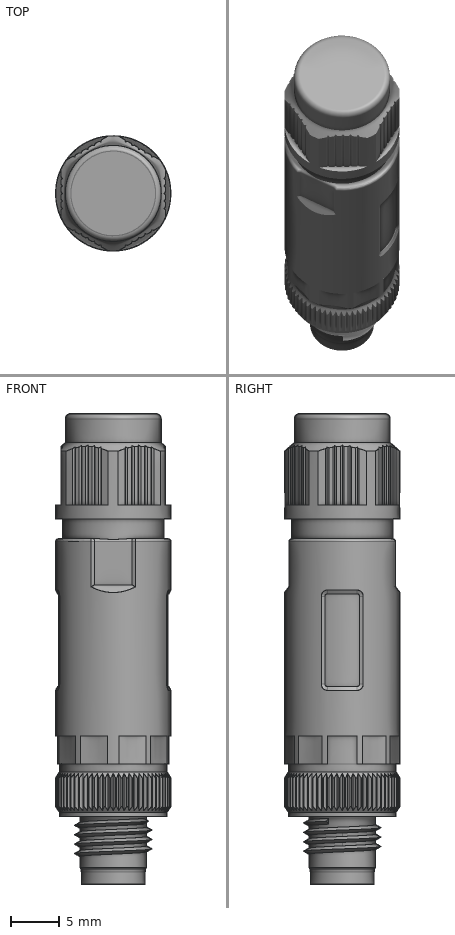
import cadquery as cq
import math

TOTAL_HEIGHT = 49.0
BODY_DIAMETER = 12.0
BODY_RADIUS = BODY_DIAMETER / 2

PILOT_RADIUS = 3.35
PILOT_HEIGHT = 1.25
CORE_RADIUS = 3.5
SHOULDER_RADIUS = 3.4
SHOULDER_HEIGHT = 1.6
CORE_START = 1.75
THREAD_RADIUS = 4.0
THREAD_PITCH = 1.0
THREAD_TURNS = 3.6
THREAD_START_Z = 3.05
THREAD_START_ANGLE = 120.0
THREAD_BASE_WIDTH = 0.8
THREAD_OVERLAP = 0.15

RING_RADIUS = 5.6
RING_BOTTOM = 7.05
KNURL_CHAMFER_BOTTOM = 7.5
KNURL_BOTTOM = 8.1
KNURL_TOP = 11.05
KNURL_CHAMFER_TOP = 11.7
KNURL_TEETH = 64
KNURL_DEPTH = 0.3
KNURL_OPENING = 0.8

BODY_BOTTOM = 12.55
SCALLOP_TOP = 15.45
SCALLOP_FLOOR = 5.7
SCALLOP_RADIUS = 8.8
SCALLOP_PITCH_ANGLE = 35.0
MIDDLE_RECESS_WIDTH = 3.1
BODY_TOP = 35.95
BODY_TOP_FILLET = 0.3
FLAT_DISTANCE = 5.4
FLAT_BOTTOM = 31.15
FLAT_HALF_WIDTH = 1.95
FLAT_SIDE_SPREAD = 2.2
FLAT_BOTTOM_SLOPE = 1.3
POCKET_BOTTOM = 20.6
POCKET_TOP = 30.25
POCKET_WIDTH = 3.65
POCKET_DEPTH = 0.3
POCKET_CORNER = 0.3
POCKET_CHAMFER_WIDTH = 0.4
POCKET_CHAMFER_DEPTH = 0.2

NECK_RADIUS = 5.3
COLLAR_BOTTOM = 38.0
COLLAR_TOP = 39.5
NUT_SHOULDER = 45.1
NUT_TOP = 45.95
NUT_FLAT_DISTANCE = 5.45
NUT_FLATS = 6
GRIP_GROOVES = 5
GRIP_PITCH = 0.8
GRIP_WIDTH = 0.35
GRIP_DEPTH = 0.15

CAP_RADIUS = 5.0
CAP_FILLET = 0.6

CUT_MARGIN = 0.5
RIM_TOLERANCE = 0.05


def about_axis(shape, angle):
    """Turn a shape about the connector's axis."""
    return shape.rotate((0, 0, 0), (0, 0, 1), angle)


def turned_profile():
    """Revolve the stepped outline of everything inside and beyond the body sleeve."""
    outline = (
        cq.Workplane("XZ")
        .moveTo(0, 0)
        .lineTo(PILOT_RADIUS, 0)
        .lineTo(PILOT_RADIUS, PILOT_HEIGHT)
        .lineTo(SHOULDER_RADIUS, SHOULDER_HEIGHT)
        .lineTo(CORE_RADIUS, CORE_START)
        .lineTo(CORE_RADIUS, RING_BOTTOM)
        .lineTo(RING_RADIUS, RING_BOTTOM)
        .lineTo(RING_RADIUS, KNURL_CHAMFER_BOTTOM)
        .lineTo(BODY_RADIUS, KNURL_BOTTOM)
        .lineTo(BODY_RADIUS, KNURL_TOP)
        .lineTo(RING_RADIUS, KNURL_CHAMFER_TOP)
        .lineTo(RING_RADIUS, BODY_BOTTOM)
        .lineTo(NECK_RADIUS, BODY_BOTTOM)
        .lineTo(NECK_RADIUS, COLLAR_BOTTOM)
        .lineTo(BODY_RADIUS, COLLAR_BOTTOM)
        .lineTo(BODY_RADIUS, NUT_SHOULDER)
        .lineTo(CAP_RADIUS, NUT_TOP)
        .lineTo(CAP_RADIUS, TOTAL_HEIGHT)
        .lineTo(0, TOTAL_HEIGHT)
        .close()
    )
    solid = outline.revolve(360, (0, 0, 0), (0, 1, 0))
    return solid.faces(">Z").edges().fillet(CAP_FILLET)


def thread():
    """Right-handed triangular thread that overlaps the core."""
    root_radius = CORE_RADIUS - THREAD_OVERLAP
    helix = cq.Wire.makeHelix(THREAD_PITCH, THREAD_PITCH * THREAD_TURNS, root_radius)
    tooth = (
        cq.Workplane("XZ")
        .moveTo(root_radius, -THREAD_BASE_WIDTH / 2)
        .lineTo(THREAD_RADIUS, 0)
        .lineTo(root_radius, THREAD_BASE_WIDTH / 2)
        .close()
    )
    ridge = tooth.sweep(cq.Workplane(obj=helix), isFrenet=True)
    return about_axis(ridge, THREAD_START_ANGLE).translate((0, 0, THREAD_START_Z))


def knurl_grooves():
    """V grooves around the coupling ring, through both of its chamfers."""
    tooth_angle = 2 * math.pi / KNURL_TEETH
    outer = BODY_RADIUS + CUT_MARGIN
    root = BODY_RADIUS - KNURL_DEPTH
    half_opening = KNURL_OPENING * tooth_angle * BODY_RADIUS / 2
    half_mouth = half_opening * (outer - root) / KNURL_DEPTH
    groove = (
        cq.Workplane("XY", origin=(0, 0, KNURL_CHAMFER_BOTTOM))
        .polyline([(root, 0), (outer, half_mouth), (outer, -half_mouth)])
        .close()
        .extrude(KNURL_CHAMFER_TOP - KNURL_CHAMFER_BOTTOM)
    )
    grooves = [
        about_axis(groove, 360 / KNURL_TEETH * index).val()
        for index in range(KNURL_TEETH)
    ]
    return cq.Workplane(obj=cq.Compound.makeCompound(grooves))


def band_recesses():
    """Five recesses on each X side of the lower band; the middle one is level with the ring."""
    height = SCALLOP_TOP - BODY_BOTTOM
    band = cq.Workplane("XY", origin=(0, 0, BODY_BOTTOM))
    middle = (
        band.center(BODY_RADIUS, 0)
        .rect(2 * BODY_RADIUS, MIDDLE_RECESS_WIDTH)
        .extrude(height)
        .cut(band.circle(RING_RADIUS).extrude(height))
    )
    scallop = (
        band.center(SCALLOP_FLOOR + SCALLOP_RADIUS, 0)
        .circle(SCALLOP_RADIUS)
        .extrude(height)
    )
    recesses = []
    for side_angle in (0, 180):
        recesses.append(about_axis(middle, side_angle))
        for step in (-2, -1, 1, 2):
            angle = side_angle + step * SCALLOP_PITCH_ANGLE
            recesses.append(about_axis(scallop, angle))
    return recesses


def wrench_flat():
    """Cutter for the flat on the -Y side: flared sides, sloped lower end, open at the top."""
    reach = BODY_RADIUS + CUT_MARGIN - FLAT_DISTANCE
    outer_half_width = FLAT_HALF_WIDTH + FLAT_SIDE_SPREAD * reach
    top = BODY_TOP + CUT_MARGIN
    flared = (
        cq.Workplane("XY", origin=(0, 0, POCKET_BOTTOM))
        .polyline([
            (-FLAT_HALF_WIDTH, -FLAT_DISTANCE),
            (FLAT_HALF_WIDTH, -FLAT_DISTANCE),
            (outer_half_width, -FLAT_DISTANCE - reach),
            (-outer_half_width, -FLAT_DISTANCE - reach),
        ])
        .close()
        .extrude(top - POCKET_BOTTOM)
    )
    sloped = (
        cq.Workplane("YZ")
        .polyline([
            (-FLAT_DISTANCE, FLAT_BOTTOM),
            (-FLAT_DISTANCE, top),
            (-FLAT_DISTANCE - reach, top),
            (-FLAT_DISTANCE - reach, FLAT_BOTTOM - FLAT_BOTTOM_SLOPE * reach),
        ])
        .close()
        .extrude(outer_half_width, both=True)
    )
    return flared.intersect(sloped)


def label_pocket():
    """Cutter for the shallow pocket on the +X side; its floor is concentric with the body."""
    height = POCKET_TOP - POCKET_BOTTOM
    prism = (
        cq.Workplane("YZ", origin=(0, 0, POCKET_BOTTOM + height / 2))
        .rect(POCKET_WIDTH, height)
        .extrude(BODY_RADIUS + CUT_MARGIN)
        .edges("|X").fillet(POCKET_CORNER)
    )
    floor = cq.Workplane("XY").circle(BODY_RADIUS - POCKET_DEPTH).extrude(TOTAL_HEIGHT)
    return prism.cut(floor)


def is_pocket_rim(edge):
    """True for the edges where a pocket wall meets the outer face of the body."""
    middle = edge.positionAt(0.5)
    on_surface = abs(math.hypot(middle.x, middle.y) - BODY_RADIUS) < RIM_TOLERANCE
    in_height = POCKET_BOTTOM - RIM_TOLERANCE < middle.z < POCKET_TOP + RIM_TOLERANCE
    return on_surface and in_height and abs(middle.y) < POCKET_WIDTH / 2 + RIM_TOLERANCE


def body_sleeve():
    """Outer body with its wrench flats, rounded top, side pockets and lower band recesses."""
    sleeve = (
        cq.Workplane("XY", origin=(0, 0, BODY_BOTTOM))
        .circle(BODY_RADIUS)
        .extrude(BODY_TOP - BODY_BOTTOM)
    )
    for angle in (0, 180):
        sleeve = sleeve.cut(about_axis(wrench_flat(), angle))
        sleeve = sleeve.cut(about_axis(label_pocket(), angle))
    sleeve = sleeve.edges(">Z").fillet(BODY_TOP_FILLET)
    rim = [edge for edge in sleeve.edges().vals() if is_pocket_rim(edge)]
    sleeve = sleeve.newObject(rim).chamfer(POCKET_CHAMFER_WIDTH, POCKET_CHAMFER_DEPTH)
    for recess in band_recesses():
        sleeve = sleeve.cut(recess)
    return sleeve


def nut_flat():
    """Cutter for the flat with V grooves on the +X side of the clamping nut."""
    height = TOTAL_HEIGHT - COLLAR_TOP
    face = cq.Workplane("XY", origin=(0, 0, COLLAR_TOP))
    cutter = (
        face.center(NUT_FLAT_DISTANCE + BODY_RADIUS / 2, 0)
        .rect(BODY_RADIUS, 2 * BODY_RADIUS)
        .extrude(height)
    )
    for index in range(GRIP_GROOVES):
        middle = (index - (GRIP_GROOVES - 1) / 2) * GRIP_PITCH
        groove = (
            face.moveTo(NUT_FLAT_DISTANCE - GRIP_DEPTH, middle)
            .lineTo(NUT_FLAT_DISTANCE, middle + GRIP_WIDTH / 2)
            .lineTo(NUT_FLAT_DISTANCE, middle - GRIP_WIDTH / 2)
            .close()
            .extrude(height)
        )
        cutter = cutter.union(groove)
    return cutter


result = turned_profile().cut(knurl_grooves())
for index in range(NUT_FLATS):
    result = result.cut(about_axis(nut_flat(), 360 / NUT_FLATS * index))
result = result.union(thread()).union(body_sleeve())